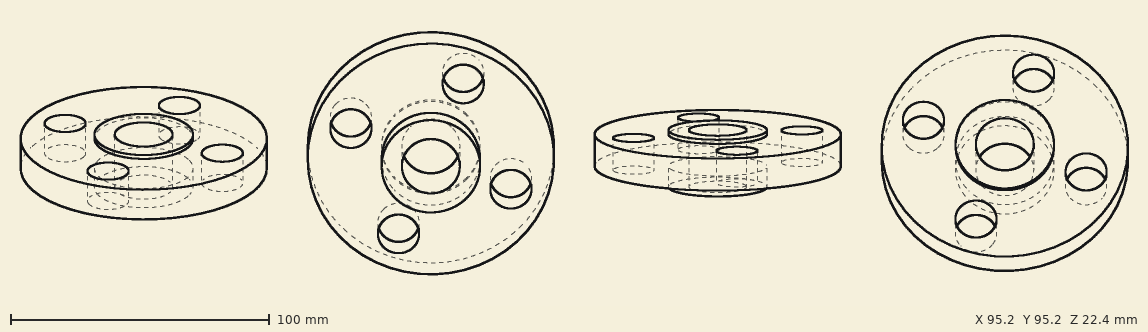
import cadquery as cq

flange_diameter = 95.25
flange_thickness = 12.7

hub_diameter = 38.1
raised_face_height = 1.6
total_height = 22.4
hub_height = total_height - flange_thickness - raised_face_height

bore_diameter = 22.4
bolt_hole_diameter = 15.9
bolt_circle_diameter = 66.7
bolt_count = 4
first_bolt_angle = 180 / bolt_count


def make_body():
    """Flange plate resting on Z = 0, with the hub and raised face as one cylinder."""
    plate = cq.Workplane("XY").circle(flange_diameter / 2).extrude(flange_thickness)
    hub = (
        cq.Workplane("XY")
        .workplane(offset=-hub_height)
        .circle(hub_diameter / 2)
        .extrude(total_height)
    )
    return plate.union(hub)


def cut_bore(body):
    """Through bore along the flange axis."""
    return body.faces(">Z").workplane().hole(bore_diameter)


def cut_bolt_holes(body):
    """Evenly spaced through holes on the bolt circle."""
    holes = (
        cq.Workplane("XY")
        .polarArray(bolt_circle_diameter / 2, first_bolt_angle, 360, bolt_count)
        .circle(bolt_hole_diameter / 2)
        .extrude(flange_thickness)
    )
    return body.cut(holes)


result = cut_bolt_holes(cut_bore(make_body()))